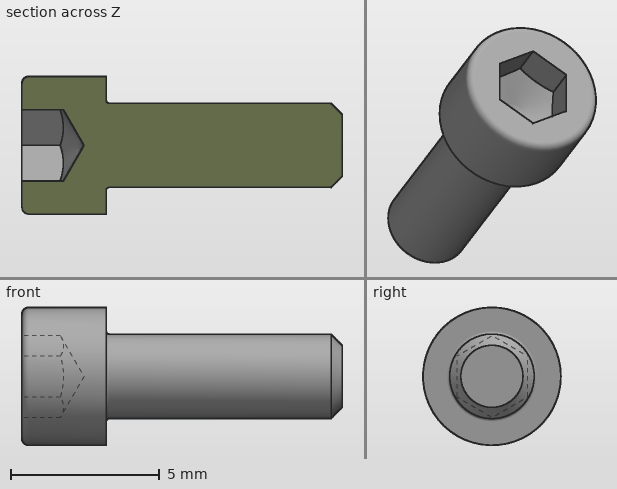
import cadquery as cq
import math

total_length = 10.78
head_diameter = 4.65
head_length = 2.85
shank_diameter = 2.85
head_edge_radius = 0.24
neck_fillet_radius = 0.1
tip_chamfer = 0.38

socket_across_flats = 2.38
socket_depth = 1.29
socket_cone_angle = 120.0


def make_body():
    """Revolve the half profile of head and shank about the X axis."""
    head_radius = head_diameter / 2
    shank_radius = shank_diameter / 2
    arc_middle = 1 - math.sqrt(0.5)
    return (
        cq.Workplane("XY")
        .lineTo(0, head_radius - head_edge_radius)
        .threePointArc(
            (head_edge_radius * arc_middle, head_radius - head_edge_radius * arc_middle),
            (head_edge_radius, head_radius),
        )
        .lineTo(head_length, head_radius)
        .lineTo(head_length, shank_radius + neck_fillet_radius)
        .threePointArc(
            (
                head_length + neck_fillet_radius * arc_middle,
                shank_radius + neck_fillet_radius * arc_middle,
            ),
            (head_length + neck_fillet_radius, shank_radius),
        )
        .lineTo(total_length - tip_chamfer, shank_radius)
        .lineTo(total_length, shank_radius - tip_chamfer)
        .lineTo(total_length, 0)
        .close()
        .revolve(360, (0, 0, 0), (1, 0, 0))
    )


def make_socket():
    """Hexagonal prism with corners on the Z axis, ending in a drill-point cone."""
    corner_radius = socket_across_flats / math.sqrt(3)
    cone_height = corner_radius / math.tan(math.radians(socket_cone_angle / 2))
    hexagon = (
        cq.Workplane("YZ")
        .transformed(rotate=(0, 0, 90))
        .polygon(6, 2 * corner_radius)
        .extrude(socket_depth + cone_height)
    )
    drill_envelope = (
        cq.Workplane("XY")
        .lineTo(0, corner_radius)
        .lineTo(socket_depth, corner_radius)
        .lineTo(socket_depth + cone_height, 0)
        .close()
        .revolve(360, (0, 0, 0), (1, 0, 0))
    )
    return hexagon.intersect(drill_envelope)


result = make_body().cut(make_socket())